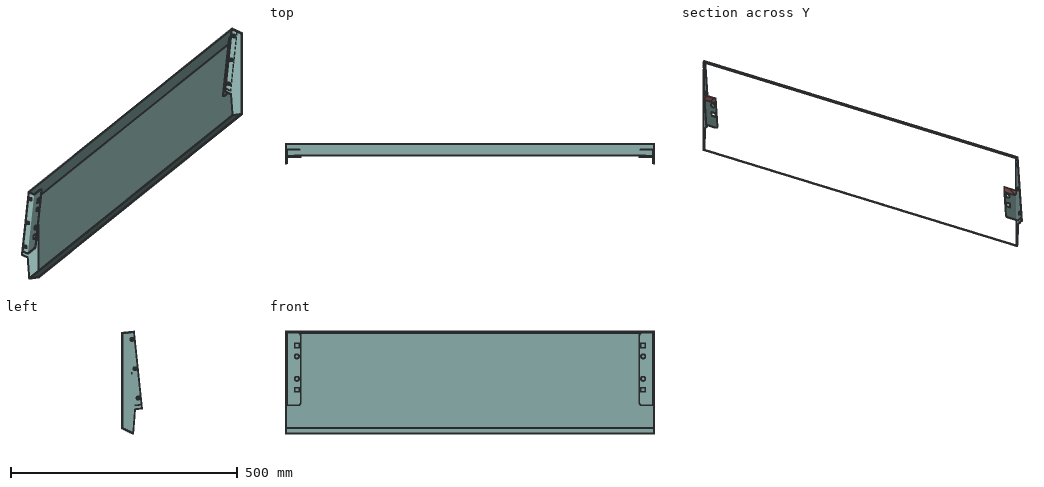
import cadquery as cq
import math

length = 812.0
height = 226.0
sheet = 1.5
tilt = 6.0

top_depth = 27.0
bottom_depth = 25.0
bottom_drop = 12.0
ear_depth = 45.0
ear_step = 15.5

web_width = 15.0
inner_bend = 1.0
lip_width = 32.5
bracket_length = 161.0
lip_corner = 5.0

web_hole_diameter = 7.0
rivet_hole_diameter = 4.0
web_hole_inset = 6.5
web_hole_spacing = 65.0
lip_hole_inset = 24.0
lip_hole_rise = 3.0
round_hole_diameter = 10.0
round_hole_spacing = 49.5
square_hole_side = 10.0
square_hole_spacing = 98.0

half_length = length / 2
lean_sin = math.sin(math.radians(tilt))
lean_cos = math.cos(math.radians(tilt))
lean_slope = lean_sin / lean_cos
bracket_bottom = -sheet - bracket_length
bracket_middle = -sheet - bracket_length / 2


def leaning(shape):
    """Move a shape drawn with its front edge on the Z axis onto the leaning front edge."""
    return shape.rotate((0, 0, 0), (1, 0, 0), -tilt).translate((0, -top_depth, 0))


def x_prism(points, x_start, thickness):
    return cq.Workplane("YZ").workplane(offset=x_start).polyline(points).close().extrude(thickness)


def web_hole_cutters(side, diameter):
    """Three cylinders along X through one side flange and the bracket web behind it."""
    reach = 2 * sheet
    places = [(web_hole_inset, bracket_middle + i * web_hole_spacing) for i in (-1, 0, 1)]
    cutters = (
        cq.Workplane("YZ")
        .workplane(offset=side * half_length)
        .pushPoints(places)
        .circle(diameter / 2)
        .extrude(reach, both=True)
    )
    return leaning(cutters)


def make_panel():
    back_top = -top_depth * lean_slope
    back_bottom = bottom_drop - height
    bottom_slope = bottom_drop / bottom_depth
    top_thickness = sheet / lean_cos
    bottom_thickness = sheet * math.hypot(1, bottom_slope)
    section = [
        (0, back_top),
        (-top_depth, 0),
        (-top_depth, -top_thickness),
        (-sheet, back_top + sheet * lean_slope - top_thickness),
        (-sheet, back_bottom - sheet * bottom_slope + bottom_thickness),
        (-bottom_depth, -height + bottom_thickness),
        (-bottom_depth, -height),
        (0, back_bottom),
    ]
    panel = x_prism(section, -half_length, length)

    ear_drop = (ear_depth - top_depth) / lean_slope
    side_outline = [
        (0, back_top),
        (-top_depth, 0),
        (-ear_depth, -ear_drop),
        (-ear_depth + ear_step * lean_cos, -ear_drop - ear_step * lean_sin),
        (-bottom_depth, -height),
        (0, back_bottom),
    ]
    for side in (-1, 1):
        inner_face = side * (half_length - sheet)
        panel = panel.union(x_prism(side_outline, inner_face, side * sheet))
        panel = panel.cut(web_hole_cutters(side, web_hole_diameter))
    return panel


def lip_hole_cutters():
    """Two round holes between two square ones, along Y through the lip of the +X bracket."""
    x = half_length - lip_hole_inset
    middle = bracket_middle + lip_hole_rise
    depth = -2 * web_width
    round_places = [(x, middle + i * round_hole_spacing / 2) for i in (-1, 1)]
    square_places = [(x, middle + i * square_hole_spacing / 2) for i in (-1, 1)]
    round_holes = cq.Workplane("XZ").pushPoints(round_places).circle(round_hole_diameter / 2)
    square_holes = cq.Workplane("XZ").pushPoints(square_places).rect(square_hole_side, square_hole_side)
    return round_holes.extrude(depth).add(square_holes.extrude(depth)).combine()


def make_bracket(side):
    """An angle inside one side flange: a web against the flange and a lip turned inward."""
    outer_face = half_length - sheet
    lip_end = half_length - lip_width
    inner_face = outer_face - sheet
    lip_front = web_width - sheet
    section = [
        (outer_face, 0),
        (outer_face, web_width),
        (lip_end, web_width),
        (lip_end, lip_front),
        (inner_face, lip_front),
        (inner_face, 0),
    ]
    angle = cq.Workplane("XY").workplane(offset=bracket_bottom).polyline(section).close()
    angle = (
        angle.extrude(bracket_length)
        .edges(cq.NearestToPointSelector((inner_face, lip_front, bracket_middle)))
        .fillet(inner_bend)
        .edges("|Z and >X and >Y")
        .fillet(inner_bend + sheet)
        .edges("|Y and <X")
        .fillet(lip_corner)
    )
    bracket = leaning(angle.cut(lip_hole_cutters()))
    bracket = bracket.cut(web_hole_cutters(1, rivet_hole_diameter))
    return bracket if side > 0 else bracket.mirror("YZ")


panel = make_panel()
brackets = [make_bracket(side) for side in (-1, 1)]
result = cq.Compound.makeCompound([panel.val(), *[bracket.val() for bracket in brackets]])